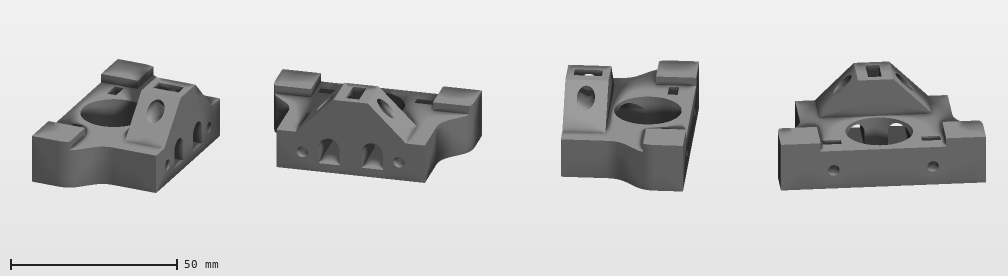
import cadquery as cq
import math

length = 37.5
wide_half = 31.0
narrow_half = 23.05
plate_height = 12.35
shoulder_radius = 7.9

ear_length = 12.1
ear_inner_y = 19.0
ear_height = 15.05

lug_length = 13.0
lug_top_half = 5.35
lug_top = 24.2
lug_bore_x = length - lug_length / 2
lug_bore_z = 20.15
lug_bore_radius = 2.7
lug_nut_flats = 8.5
lug_nut_thickness = 4.15

pocket_x = 13.0
pocket_radius = 10.15
pocket_floor = 2.8
boss_radius = 3.0
boss_height = 0.5
boss_bore_radius = 1.6

tunnel_y = 6.75
tunnel_width = 6.45
tunnel_spring_z = 8.0

screw_y = 15.0
screw_z = 5.95
screw_radius = 1.75
screw_nut_x = 5.0
screw_nut_flats = 5.7
screw_nut_thickness = 3.05


def box(x0, x1, y0, y1, z0, z1):
    """Make a box from its limits."""
    return cq.Workplane("XY").box(x1 - x0, y1 - y0, z1 - z0, centered=False).translate((x0, y0, z0))


def nut_slot(flats, thickness, bore_z, top):
    """Make an open-topped nut slot in the YZ plane, with its bore at Y = 0 and a hexagon vertex down."""
    half_flat = flats / 2
    vertex_radius = flats / math.sqrt(3)
    flat_bottom = bore_z - vertex_radius / 2
    outline = [
        (-half_flat, top),
        (-half_flat, flat_bottom),
        (0, bore_z - vertex_radius),
        (half_flat, flat_bottom),
        (half_flat, top),
    ]
    return cq.Workplane("YZ").polyline(outline).close().extrude(thickness)


def make_plate():
    """Make the plate and ears from one outline, then lower everything except the ears."""
    shoulder_end = ear_length + wide_half - narrow_half
    upper_edge = [
        (0, wide_half),
        (ear_length, wide_half),
        (shoulder_end, narrow_half),
        (length, narrow_half),
    ]
    lower_edge = [(x, -y) for x, y in reversed(upper_edge)]
    plate = cq.Workplane("XY").polyline(upper_edge + lower_edge).close().extrude(ear_height)
    for x, y in ((ear_length, wide_half), (shoulder_end, narrow_half)):
        for side in (-1, 1):
            corner = cq.selectors.NearestToPointSelector((x, side * y, ear_height / 2))
            plate = plate.edges("|Z").edges(corner).fillet(shoulder_radius)
    behind_ears = box(ear_length, length, -wide_half, wide_half, plate_height, ear_height)
    between_ears = box(0, ear_length, -ear_inner_y, ear_inner_y, plate_height, ear_height)
    return plate.cut(behind_ears).cut(between_ears)


def make_lug():
    """Make the trapezoidal lug."""
    base_half = lug_top_half + lug_top - plate_height
    outline = [
        (-base_half, plate_height),
        (base_half, plate_height),
        (lug_top_half, lug_top),
        (-lug_top_half, lug_top),
    ]
    lug = cq.Workplane("YZ").polyline(outline).close().extrude(lug_length)
    return lug.translate((length - lug_length, 0, 0))


def make_lug_cut():
    """Make the lug's bore along Y and its nut slot."""
    bore = cq.Workplane("XZ").center(lug_bore_x, lug_bore_z).circle(lug_bore_radius)
    bore = bore.extrude(wide_half, both=True)
    slot = nut_slot(lug_nut_flats, lug_nut_thickness, lug_bore_z, lug_top)
    slot = slot.rotate((0, 0, 0), (0, 0, 1), 90)
    return bore.union(slot.translate((lug_bore_x, -lug_nut_thickness / 2, 0)))


def make_pocket():
    """Make the round pocket around the boss, including the boss bore."""
    pocket = cq.Workplane("XY").circle(pocket_radius).extrude(plate_height - pocket_floor)
    boss = cq.Workplane("XY").circle(boss_radius).extrude(boss_height)
    pocket = pocket.cut(boss).translate((pocket_x, 0, pocket_floor))
    bore = cq.Workplane("XY").center(pocket_x, 0).circle(boss_bore_radius).extrude(plate_height)
    return pocket.union(bore)


def make_tunnel(y):
    """Make one arched tunnel, starting inside the pocket clear of the boss."""
    half_width = tunnel_width / 2
    return (
        cq.Workplane("YZ", origin=(pocket_x, y, 0))
        .moveTo(-half_width, pocket_floor)
        .lineTo(-half_width, tunnel_spring_z)
        .threePointArc((0, tunnel_spring_z + half_width), (half_width, tunnel_spring_z))
        .lineTo(half_width, pocket_floor)
        .close()
        .extrude(length - pocket_x)
    )


def make_screw_cut(y):
    """Make one screw hole along the plate, with its nut slot."""
    hole = cq.Workplane("YZ").center(0, screw_z).circle(screw_radius).extrude(length)
    slot = nut_slot(screw_nut_flats, screw_nut_thickness, screw_z, plate_height)
    return hole.union(slot.translate((screw_nut_x, 0, 0))).translate((0, y, 0))


result = make_plate().union(make_lug()).cut(make_lug_cut()).cut(make_pocket())
for side in (-1, 1):
    result = result.cut(make_tunnel(side * tunnel_y))
    result = result.cut(make_screw_cut(side * screw_y))